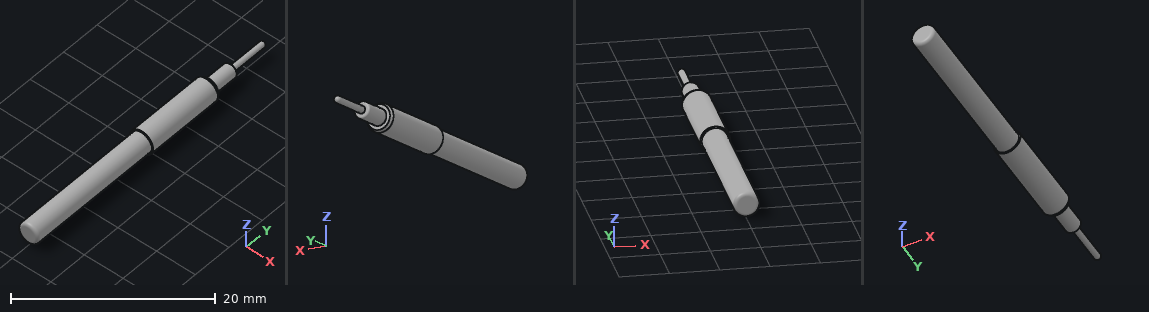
import cadquery as cq

pin_diameter = 0.8
neck_diameter = 1.8
collar_diameter = 3.0
barrel_diameter = 2.64

barrel_length = 17.0
collar_length = 10.0
neck_length = 3.3
pin_length = 5.0

barrel_end_radius = 0.4
collar_chamfer_length = 0.35
collar_chamfer_depth = 0.2
neck_end_radius = 0.2
pin_tip_radius = 0.35

collar_top = collar_length
neck_top = collar_top + neck_length


def cylinder(diameter, start, length):
    """Round bar on the Y axis running from start toward +Y."""
    plane = cq.Workplane("XZ", origin=(0, start, 0))
    return plane.circle(diameter / 2).extrude(-length)


def make_barrel():
    """Long rear rod with a rounded free end."""
    barrel = cylinder(barrel_diameter, -barrel_length, barrel_length)
    return barrel.faces("<Y").edges().fillet(barrel_end_radius)


def make_collar():
    """Widest section, with a long shallow chamfer on the neck side."""
    radius = collar_diameter / 2
    profile = (
        cq.Workplane("XY")
        .moveTo(0, 0)
        .lineTo(radius, 0)
        .lineTo(radius, collar_top - collar_chamfer_length)
        .lineTo(radius - collar_chamfer_depth, collar_top)
        .lineTo(0, collar_top)
        .close()
    )
    return profile.revolve(360, (0, 0, 0), (0, 1, 0))


def make_neck():
    """Short reduced section with a rounded edge, between the collar and the pin."""
    neck = cylinder(neck_diameter, collar_top, neck_length)
    return neck.faces(">Y").edges().fillet(neck_end_radius)


def make_pin():
    """Thin contact pin with a rounded tip."""
    pin = cylinder(pin_diameter, neck_top, pin_length)
    return pin.faces(">Y").edges().fillet(pin_tip_radius)


result = make_barrel().union(make_collar()).union(make_neck()).union(make_pin())